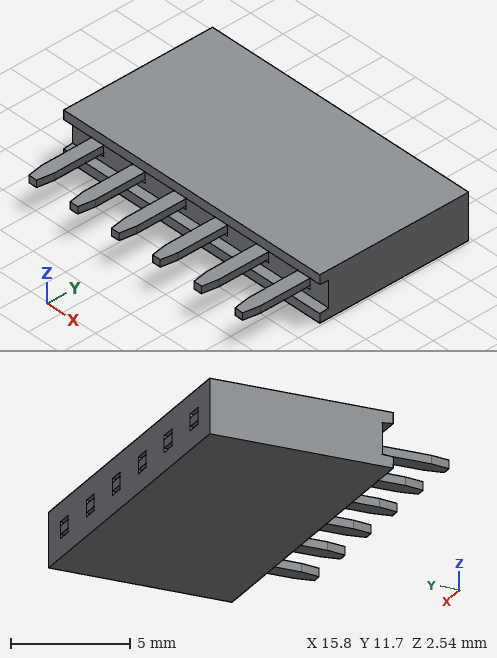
import cadquery as cq

housing_width = 15.75
housing_depth = 8.5
housing_height = 2.54
front_y = -housing_depth

groove_depth = 0.5
lip_thickness = 0.5
lip_root_thickness = 0.55
groove_floor_y = front_y + groove_depth

pin_count = 6
pin_pitch = 2.54
pin_width = 0.75
pin_thickness = 0.4
pin_projection = 3.2
pin_tip_width = 0.47
pin_taper_length = 0.88
pin_tip_y = front_y - pin_projection
pin_taper_y = pin_tip_y + pin_taper_length

pin_hole_size = pin_width

pin_centers = [(i - (pin_count - 1) / 2) * pin_pitch for i in range(pin_count)]


def make_groove():
    """Tapered groove that runs the full width of the housing."""
    mouth_half = housing_height / 2 - lip_thickness
    floor_half = housing_height / 2 - lip_root_thickness
    return (
        cq.Workplane("YZ")
        .polyline([
            (front_y, -mouth_half),
            (groove_floor_y, -floor_half),
            (groove_floor_y, floor_half),
            (front_y, mouth_half),
        ])
        .close()
        .extrude(housing_width / 2, both=True)
    )


def make_pin_holes():
    """Row of square holes running from front to rear."""
    return (
        cq.Workplane("XZ")
        .pushPoints([(x, 0) for x in pin_centers])
        .rect(pin_hole_size, pin_hole_size)
        .extrude(housing_depth)
    )


def make_housing():
    """Block with the front groove and the pin holes removed."""
    block = cq.Workplane("XZ").rect(housing_width, housing_height).extrude(housing_depth)
    return block.cut(make_groove()).cut(make_pin_holes())


def make_pin(center_x):
    """Flat pin from the rear face of the housing to a tip tapered in width."""
    half_width = pin_width / 2
    half_tip = pin_tip_width / 2
    return (
        cq.Workplane("XY")
        .polyline([
            (-half_width, 0),
            (-half_width, pin_taper_y),
            (-half_tip, pin_tip_y),
            (half_tip, pin_tip_y),
            (half_width, pin_taper_y),
            (half_width, 0),
        ])
        .close()
        .extrude(pin_thickness / 2, both=True)
        .translate((center_x, 0, 0))
    )


housing = make_housing()
pins = [make_pin(x) for x in pin_centers]

result = cq.Compound.makeCompound([housing.val(), *[pin.val() for pin in pins]])